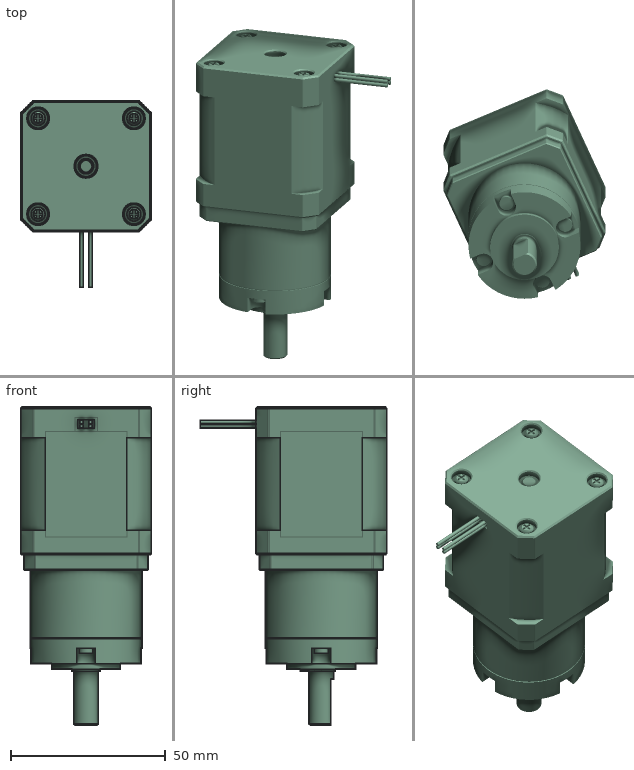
import cadquery as cq
import math


TOTAL_HEIGHT = 103.0
MOTOR_BOTTOM = 55.1
UPPER_LEDGE = 93.0
LOWER_LEDGE = 63.1
PANEL_TOP = 95.2
PANEL_BOTTOM = 61.0
ADAPTER_BOTTOM = 50.2
GEARBOX_BOTTOM = 20.0
PILOT_BOTTOM = 18.1
COLLAR_BOTTOM = 17.5

MOTOR_SIDE = 42.3
MOTOR_FLAT = 34.3
PANEL_WIDTH = 26.5
PANEL_THICKNESS = 1.0
HALF_SIDE = MOTOR_SIDE / 2
WAIST_RADIUS = math.hypot(HALF_SIDE, PANEL_WIDTH / 2)
RIM_CHAMFER = 0.5
CORNER_FILLET = 0.5

ADAPTER_SIDE = 40.2
ADAPTER_FLAT = 33.2
ADAPTER_CHAMFER = 0.3

SCREW_PITCH = 31.0
SCREW_BORE_RADIUS = 3.2
SCREW_BORE_DEPTH = 2.2
SCREW_HEAD_RADIUS = 2.3
SCREW_HEAD_HEIGHT = 1.6
SCREW_HEAD_CHAMFER = 0.7
CROSS_LENGTH = 2.9
CROSS_WIDTH = 0.7
CROSS_DEPTH = 0.8
CENTRE_BORE_RADIUS = 3.4
CENTRE_BORE_DEPTH = 2.3
ROTOR_RADIUS = 2.5
ROTOR_HEIGHT = 0.7
ROTOR_CHAMFER = 0.5
BORE_CHAMFER = 0.4

OUTLET_WIDTH = 7.2
OUTLET_HEIGHT = 4.4
SOCKET_WIDTH = 5.5
SOCKET_HEIGHT = 2.7
SOCKET_DEPTH = 1.5
SOCKET_HEIGHT_CENTRE = 97.4
TOTAL_DEPTH = 60.4
WIRE_DIAMETER = 1.2
WIRE_SPACING_X = 2.9
WIRE_SPACING_Z = 1.3
WIRE_REACH = TOTAL_DEPTH - HALF_SIDE

GEARBOX_RADIUS = 18.1
GROOVE_CENTRE = 28.1
GROOVE_WIDTH = 0.4
GROOVE_DEPTH = 0.3
PILOT_RADIUS = 11.1
COLLAR_RADIUS = 4.5
COLLAR_OFFSET = 2.4

NOTCH_COUNT = 4
NOTCH_WIDTH = 6.1
NOTCH_HEIGHT = 4.9
NOTCH_CENTRE_RADIUS = 14.4
NOTCH_SCREW_RADIUS = 2.3
NOTCH_SCREW_HEIGHT = 1.6

SHAFT_RADIUS = 4.0
SHAFT_CHAMFER = 0.5
FLAT_DISTANCE = 3.1
FLAT_LENGTH = 14.9


def cylinder(radius, bottom, top):
    return cq.Workplane("XY").workplane(offset=bottom).circle(radius).extrude(top - bottom)


def cut_corner_block(side, flat, bottom, top):
    """Square block whose vertical corners are cut at 45 degrees and slightly rounded."""
    block = cq.Workplane("XY").workplane(offset=bottom).rect(side, side).extrude(top - bottom)
    return block.edges("|Z").chamfer((side - flat) / 2).edges("|Z").fillet(CORNER_FILLET)


def bore(radius, depth):
    """Flat bottomed bore in the motor top, with a chamfered mouth."""
    straight = cylinder(radius, TOTAL_HEIGHT - depth, TOTAL_HEIGHT)
    mouth = (
        cq.Workplane("XY")
        .workplane(offset=TOTAL_HEIGHT)
        .circle(radius + BORE_CHAMFER)
        .workplane(offset=-BORE_CHAMFER)
        .circle(radius)
        .loft()
    )
    return straight.union(mouth)


def cross_head_screw():
    bottom = TOTAL_HEIGHT - SCREW_BORE_DEPTH
    top = bottom + SCREW_HEAD_HEIGHT
    head = cylinder(SCREW_HEAD_RADIUS, bottom, top).faces(">Z").chamfer(SCREW_HEAD_CHAMFER)
    for length, width in ((CROSS_LENGTH, CROSS_WIDTH), (CROSS_WIDTH, CROSS_LENGTH)):
        head = head.cut(
            cq.Workplane("XY").workplane(offset=top).rect(length, width).extrude(-CROSS_DEPTH)
        )
    return head


def motor():
    body = cut_corner_block(MOTOR_SIDE, MOTOR_FLAT, MOTOR_BOTTOM, TOTAL_HEIGHT)
    body = body.faces("<Z or >Z").chamfer(RIM_CHAMFER)

    corner_waste = (
        cq.Workplane("XY")
        .workplane(offset=LOWER_LEDGE)
        .rect(2 * MOTOR_SIDE, 2 * MOTOR_SIDE)
        .circle(WAIST_RADIUS)
        .extrude(UPPER_LEDGE - LOWER_LEDGE)
    )
    body = body.cut(corner_waste)

    body = body.cut(bore(CENTRE_BORE_RADIUS, CENTRE_BORE_DEPTH))
    rotor_bottom = TOTAL_HEIGHT - CENTRE_BORE_DEPTH
    rotor = cylinder(ROTOR_RADIUS, rotor_bottom, rotor_bottom + ROTOR_HEIGHT)
    body = body.union(rotor.faces(">Z").chamfer(ROTOR_CHAMFER))

    screw_bore = bore(SCREW_BORE_RADIUS, SCREW_BORE_DEPTH)
    screw = cross_head_screw()
    for x in (-SCREW_PITCH / 2, SCREW_PITCH / 2):
        for y in (-SCREW_PITCH / 2, SCREW_PITCH / 2):
            body = body.cut(screw_bore.translate((x, y, 0)))
            body = body.union(screw.translate((x, y, 0)))
    return body


def side_block(width, height, bottom, depth):
    """Block set into the -Y side of the motor, flush with its outer face."""
    return (
        cq.Workplane("XY")
        .box(width, depth, height, centered=(True, False, False))
        .translate((0, -HALF_SIDE, bottom))
    )


def wire_socket():
    bottom = SOCKET_HEIGHT_CENTRE - SOCKET_HEIGHT / 2
    return side_block(SOCKET_WIDTH, SOCKET_HEIGHT, bottom, SOCKET_DEPTH)


def wires():
    """Four straight wires running from the socket floor in the -Y direction."""
    socket_floor = HALF_SIDE - SOCKET_DEPTH
    return (
        cq.Workplane("XZ", origin=(0, -socket_floor, SOCKET_HEIGHT_CENTRE))
        .rarray(WIRE_SPACING_X, WIRE_SPACING_Z, 2, 2)
        .circle(WIRE_DIAMETER / 2)
        .extrude(WIRE_REACH - socket_floor)
    )


def adapter():
    plate = cut_corner_block(ADAPTER_SIDE, ADAPTER_FLAT, ADAPTER_BOTTOM, MOTOR_BOTTOM)
    return plate.faces("<Z").chamfer(ADAPTER_CHAMFER)


def gearbox():
    body = cylinder(GEARBOX_RADIUS, GEARBOX_BOTTOM, ADAPTER_BOTTOM)
    groove = (
        cq.Workplane("XY")
        .workplane(offset=GROOVE_CENTRE - GROOVE_WIDTH / 2)
        .circle(GEARBOX_RADIUS + GROOVE_DEPTH)
        .circle(GEARBOX_RADIUS - GROOVE_DEPTH)
        .extrude(GROOVE_WIDTH)
    )
    body = body.cut(groove)

    notch_top = GEARBOX_BOTTOM + NOTCH_HEIGHT
    round_end = cylinder(NOTCH_WIDTH / 2, GEARBOX_BOTTOM, notch_top)
    channel = (
        cq.Workplane("XY")
        .box(GEARBOX_RADIUS, NOTCH_WIDTH, NOTCH_HEIGHT, centered=(False, True, False))
        .translate((0, 0, GEARBOX_BOTTOM))
    )
    notch = round_end.union(channel).translate((NOTCH_CENTRE_RADIUS, 0, 0))
    screw = cylinder(NOTCH_SCREW_RADIUS, notch_top - NOTCH_SCREW_HEIGHT, notch_top)
    screw = screw.translate((NOTCH_CENTRE_RADIUS, 0, 0))
    for index in range(NOTCH_COUNT):
        angle = index * 360 / NOTCH_COUNT
        body = body.cut(notch.rotate((0, 0, 0), (0, 0, 1), angle))
        body = body.union(screw.rotate((0, 0, 0), (0, 0, 1), angle))

    body = body.union(cylinder(PILOT_RADIUS, PILOT_BOTTOM, GEARBOX_BOTTOM))

    collar = (
        cq.Workplane("XY", origin=(0, -COLLAR_OFFSET / 2, COLLAR_BOTTOM))
        .slot2D(2 * COLLAR_RADIUS + COLLAR_OFFSET, 2 * COLLAR_RADIUS, 90)
        .extrude(PILOT_BOTTOM - COLLAR_BOTTOM)
    )
    return body.union(collar)


def output_shaft():
    """Round shaft with a chamfered tip and a flat on its +Y side."""
    shaft = cylinder(SHAFT_RADIUS, 0, PILOT_BOTTOM).faces("<Z").chamfer(SHAFT_CHAMFER)
    flat = (
        cq.Workplane("XY")
        .box(2 * SHAFT_RADIUS, SHAFT_RADIUS, FLAT_LENGTH, centered=(True, False, False))
        .translate((0, FLAT_DISTANCE, 0))
    )
    return shaft.cut(flat)


result = motor().union(adapter()).union(gearbox()).union(output_shaft())
result = result.cut(wire_socket()).union(wires())

panel = side_block(PANEL_WIDTH, PANEL_TOP - PANEL_BOTTOM, PANEL_BOTTOM, PANEL_THICKNESS)
for quarter_turn in range(4):
    side_panel = panel.rotate((0, 0, 0), (0, 0, 1), quarter_turn * 90)
    result = result.union(side_panel, clean=False)

outlet_plate = side_block(OUTLET_WIDTH, OUTLET_HEIGHT, PANEL_TOP, PANEL_THICKNESS)
outlet_frame = outlet_plate.cut(wire_socket())
result = result.union(outlet_frame, clean=False)